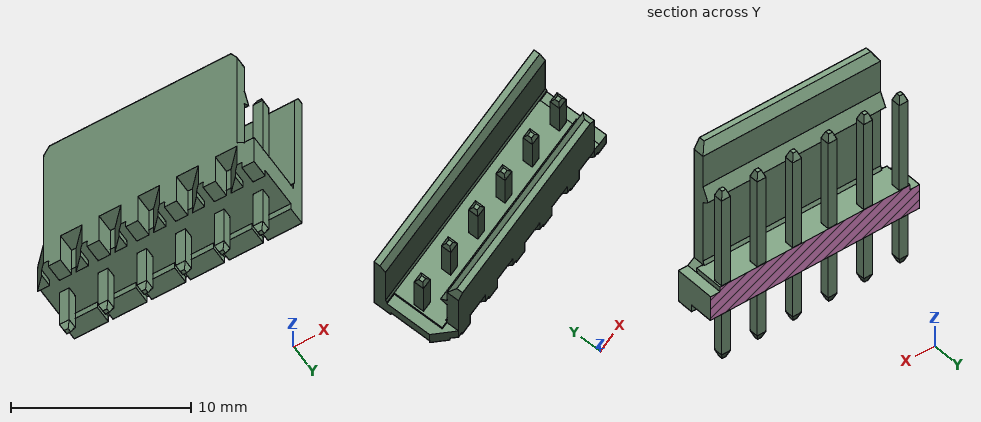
import cadquery as cq


pin_count = 6
pitch = 2.54
pin_width = 0.64
pin_tip_width = 0.27
pin_tip_length = 0.5
pin_bottom = -3.0
pin_top = 9.4
pin_positions = [(i - (pin_count - 1) / 2) * pitch for i in range(pin_count)]
row_half_span = pin_positions[-1]

length = 14.94
depth = 5.0
half_length = length / 2
front_y = -depth / 2
back_y = depth / 2
standoff = 0.5
ledge_z = 2.27
floor_z = 2.61
wall_top = 11.3

foot_half_width = half_length - row_half_span
foot_depth = 1.17
foot_gap = pitch - 2 * foot_half_width

wall_thickness = 0.79
lead_in_width = 0.39
lead_in_height = 0.65
flare_width = 0.1
flare_top = 2.88

latch_bottom = 7.2
latch_peak = 7.51
latch_top = 8.38
latch_reach = 0.45

floor_half_length = 6.8


def box(x_range, y_range, z_range):
    """Axis-aligned block from its limits along X, Y and Z."""
    (x0, x1), (y0, y1), (z0, z1) = x_range, y_range, z_range
    return cq.Workplane("XY").box(x1 - x0, y1 - y0, z1 - z0, centered=False).translate((x0, y0, z0))


def extrude_along_x(points_yz, half_span):
    """Prism with a YZ outline, centred on X = 0."""
    return cq.Workplane("YZ").polyline(points_yz).close().extrude(half_span, both=True)


def extrude_through_depth(points_xz):
    """Prism with an XZ outline, running from the front face to the back face."""
    return cq.Workplane("XZ").polyline(points_xz).close().extrude(back_y, both=True)


def make_base():
    """Floor block with its raised deck and a full-length rail along the back."""
    full_length = (-half_length, half_length)
    block = box(full_length, (front_y + foot_depth, back_y), (standoff, ledge_z))
    rail = box(full_length, (back_y - foot_depth, back_y), (0, standoff))
    deck_y = (front_y + wall_thickness, back_y - wall_thickness)
    deck = box((-floor_half_length, floor_half_length), deck_y, (ledge_z, floor_z))
    return block.union(rail).union(deck)


def make_front_foot(x):
    """Foot under the front wall, bevelled at its left and slotted at the pin."""
    foot = (
        cq.Workplane("XY")
        .polyline([
            (x - foot_half_width, front_y + foot_depth),
            (x, front_y),
            (x + foot_half_width, front_y),
            (x + foot_half_width, front_y + foot_depth),
        ])
        .close()
        .extrude(ledge_z)
    )
    pin_slot = box((x - pin_width / 2, x + pin_width / 2), (front_y, front_y + foot_depth), (0, standoff))
    return foot.cut(pin_slot)


def make_rail_gap(x):
    """Gap through the back rail, in line with the gap between two front feet."""
    return box((x - foot_gap / 2, x + foot_gap / 2), (back_y - foot_depth, back_y), (0, standoff))


def make_back_wall():
    """Full-length back wall with a lead-in at the top and a flared root."""
    inner_y = back_y - wall_thickness
    return extrude_along_x([
        (back_y, ledge_z),
        (back_y, wall_top),
        (inner_y + lead_in_width, wall_top),
        (inner_y, wall_top - lead_in_height),
        (inner_y, flare_top),
        (inner_y - flare_width, floor_z),
        (inner_y - flare_width, ledge_z),
    ], half_length)


def make_front_wall():
    """Front wall with a lead-in, a latch ridge, a flared root and clipped upper corners."""
    inner_y = front_y + wall_thickness
    wall = extrude_along_x([
        (front_y, ledge_z),
        (front_y, wall_top),
        (inner_y - lead_in_width, wall_top),
        (inner_y, wall_top - lead_in_height),
        (inner_y, latch_top),
        (inner_y + latch_reach, latch_peak),
        (inner_y, latch_bottom),
        (inner_y, flare_top),
        (inner_y + flare_width, floor_z),
        (inner_y, floor_z),
        (inner_y, ledge_z),
    ], row_half_span)
    return wall.intersect(extrude_through_depth([
        (-row_half_span, ledge_z),
        (row_half_span, ledge_z),
        (row_half_span, wall_top - lead_in_height),
        (row_half_span - lead_in_width, wall_top),
        (lead_in_width - row_half_span, wall_top),
        (-row_half_span, wall_top - lead_in_height),
    ]))


def make_wall_gusset():
    """Small sloped gusset at the right-hand root of the front wall."""
    return (
        cq.Workplane("XZ", origin=(0, front_y, 0))
        .polyline([(row_half_span, ledge_z), (floor_half_length, ledge_z), (row_half_span, floor_z)])
        .close()
        .extrude(-wall_thickness)
    )


def make_pin(x):
    """Square pin tapered at both ends."""
    shank_bottom = pin_bottom + pin_tip_length
    shank_top = pin_top - pin_tip_length
    shank = (
        cq.Workplane("XY", origin=(x, 0, shank_bottom))
        .rect(pin_width, pin_width)
        .extrude(shank_top - shank_bottom)
    )

    def tip(base_z, end_offset):
        return (
            cq.Workplane("XY", origin=(x, 0, base_z))
            .rect(pin_width, pin_width)
            .workplane(offset=end_offset)
            .rect(pin_tip_width, pin_tip_width)
            .loft()
        )

    return shank.union(tip(shank_top, pin_tip_length)).union(tip(shank_bottom, -pin_tip_length))


housing = make_base()
for pin_x in pin_positions:
    housing = housing.union(make_front_foot(pin_x))
for pin_x in pin_positions[:-1]:
    housing = housing.cut(make_rail_gap(pin_x + pitch / 2))
housing = housing.union(make_back_wall()).union(make_front_wall()).union(make_wall_gusset())

result = housing
for pin_x in pin_positions:
    result = result.union(make_pin(pin_x))